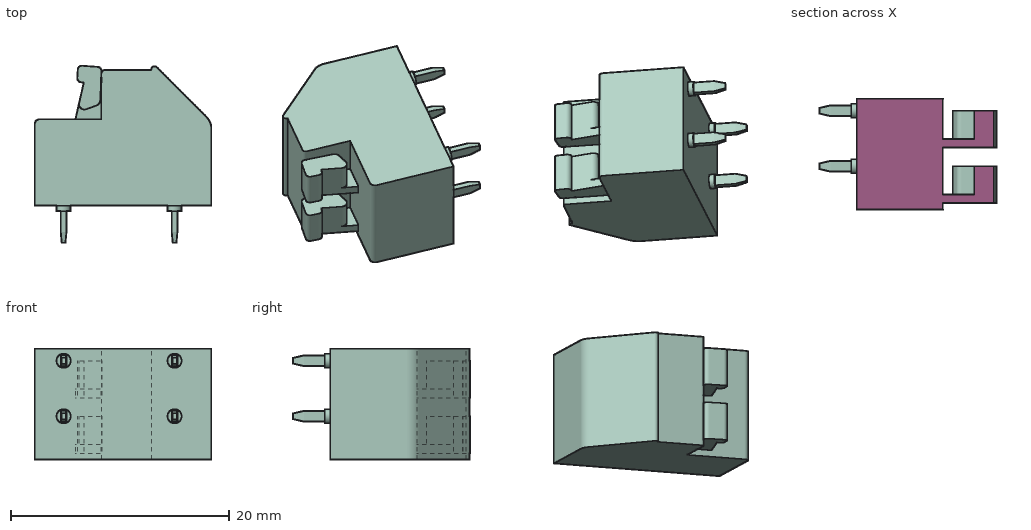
import cadquery as cq
import math


pole_count = 2
pole_pitch = 5.08

housing_length = 16.2
housing_width = pole_count * pole_pitch
step_height = 7.93
step_corner_radius = 0.5
wall_x = 6.13
top_height = 12.43
top_corner_radius = 0.3
nib_x = 10.68
nib_height = 12.77
nib_radius = 0.3
slope_angle = math.radians(45)
slope_corner_radius = 1.5

lever_width = 3.4
lever_start_z = 0.6
stem_width = 0.8
stem_foot_x = 3.74
head_top_left = (3.97, 12.85)
head_top_right = (6.16, 12.69)
head_bottom_right = (5.98, 9.28)
head_bottom_left_y = 8.52
elbow = (4.50, 11.27)
nose_bottom = (3.88, 11.30)
head_top_radius = 0.4
head_nose_radius = 0.42
head_bottom_radius = 0.5
embed_depth = 0.2

pin_first_x = 2.66
pin_spacing = 2 * pole_pitch
pin_first_z = 3.98
collar_diameter = 1.3
collar_height = 0.5
pin_thickness = 0.55
pin_width = 1.0
pin_tip_thickness = 0.36
pin_tip_width = 0.52
pin_length = 3.4
taper_length = 1.0


def make_housing():
    """Stepped block with a rounded nib where the flat top meets the slope."""
    nib_center_x = nib_x + nib_radius
    nib_center_y = nib_height - nib_radius
    slope_start_x = nib_center_x + nib_radius * math.sin(slope_angle)
    slope_start_y = nib_center_y + nib_radius * math.cos(slope_angle)
    slope_end_y = slope_start_y - (housing_length - slope_start_x) * math.tan(slope_angle)
    nib_mid_angle = (math.pi + math.pi / 2 - slope_angle) / 2
    nib_mid = (
        nib_center_x + nib_radius * math.cos(nib_mid_angle),
        nib_center_y + nib_radius * math.sin(nib_mid_angle),
    )
    block = (
        cq.Workplane("XY")
        .lineTo(housing_length, 0)
        .lineTo(housing_length, slope_end_y)
        .lineTo(slope_start_x, slope_start_y)
        .threePointArc(nib_mid, (nib_x, nib_center_y))
        .lineTo(nib_x, top_height)
        .lineTo(wall_x, top_height)
        .lineTo(wall_x, step_height)
        .lineTo(0, step_height)
        .close()
        .extrude(housing_width)
    )
    block = round_upright_edge(block, (0, step_height), step_corner_radius)
    block = round_upright_edge(block, (wall_x, top_height), top_corner_radius)
    return round_upright_edge(block, (housing_length, slope_end_y), slope_corner_radius)


def round_upright_edge(body, corner, radius):
    """Fillet the Z-direction edge that passes through an XY corner."""
    edge_middle_z = body.val().BoundingBox().center.z
    edge = cq.selectors.NearestToPointSelector((corner[0], corner[1], edge_middle_z))
    return body.edges("|Z").edges(edge).fillet(radius)


def make_lever(start_z):
    """Hooked lever head carried by a narrow stem that stands on the step."""
    stem_lean = (elbow[0] - stem_foot_x) / (elbow[1] - step_height)
    head_bottom_left = (
        elbow[0] - (elbow[1] - head_bottom_left_y) * stem_lean,
        head_bottom_left_y,
    )
    head_outline = [
        head_top_left,
        head_top_right,
        head_bottom_right,
        head_bottom_left,
        elbow,
        nose_bottom,
    ]
    head = (
        cq.Workplane("XY", origin=(0, 0, start_z))
        .polyline(head_outline)
        .close()
        .extrude(lever_width)
    )
    corner_radii = [
        (head_top_left, head_top_radius),
        (head_top_right, head_top_radius),
        (nose_bottom, head_nose_radius),
        (head_bottom_right, head_bottom_radius),
        (head_bottom_left, head_bottom_radius),
    ]
    for corner, radius in corner_radii:
        head = round_upright_edge(head, corner, radius)
    stem = (
        cq.Workplane("XY", origin=(0, 0, start_z))
        .polyline(
            [
                (stem_foot_x, step_height - embed_depth),
                (stem_foot_x, step_height),
                elbow,
                (wall_x + embed_depth, elbow[1]),
                (wall_x + embed_depth, step_height - embed_depth),
            ]
        )
        .close()
        .extrude(stem_width)
    )
    return head.union(stem)


def make_pin(x, z):
    """Round collar and flat pin with a tapered tip, pointing toward -Y."""
    collar = (
        cq.Workplane("XZ", origin=(x, embed_depth, z))
        .circle(collar_diameter / 2)
        .extrude(collar_height + embed_depth)
    )
    straight_length = pin_length - taper_length
    shank = (
        cq.Workplane("XZ", origin=(x, 0, z))
        .rect(pin_thickness, pin_width)
        .extrude(straight_length)
    )
    tip = (
        cq.Workplane("XZ", origin=(x, -straight_length, z))
        .rect(pin_thickness, pin_width)
        .workplane(offset=taper_length)
        .rect(pin_tip_thickness, pin_tip_width)
        .loft(ruled=True)
    )
    return collar.union(shank).union(tip)


result = make_housing()
for pole in range(pole_count):
    pole_z = pole * pole_pitch
    result = result.union(make_lever(lever_start_z + pole_z))
    for pin_x in (pin_first_x, pin_first_x + pin_spacing):
        result = result.union(make_pin(pin_x, pin_first_z + pole_z))